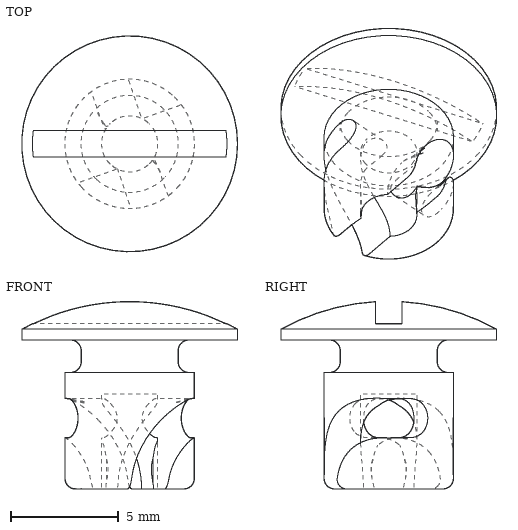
import cadquery as cq
import math


HEAD_RADIUS = 5.0
RIM_HEIGHT = 0.5
DOME_RISE = 1.3
DRIVER_SLOT_WIDTH = 1.22
DRIVER_SLOT_DEPTH = 1.04

SHANK_RADIUS = 3.0
SHANK_HEIGHT = 5.4
SHANK_END_FILLET = 0.5
NECK_RADIUS = 2.25
NECK_FILLET = 0.5
NECK_HEIGHT = 1.5
BORE_RADIUS = 1.3
BORE_DEPTH = 4.4

SLOT_WIDTH = 1.81
SLOT_FLOOR_RADIUS = 0.8
SEAT_CENTER_ARC = -1.02
BEND_START_ARC = 0.45
INNER_BEND_START_ARC = -0.9
BEND_RADIUS = 3.285
SLOT_COUNT = 2
PATH_SEGMENTS = 16
OVERRUN = 1.0

RIM_BOTTOM_Z = SHANK_HEIGHT + NECK_HEIGHT
RIM_TOP_Z = RIM_BOTTOM_Z + RIM_HEIGHT
APEX_Z = RIM_TOP_Z + DOME_RISE
DOME_RADIUS = (HEAD_RADIUS**2 + DOME_RISE**2) / (2 * DOME_RISE)
NECK_ROOT_RADIUS = NECK_RADIUS + NECK_FILLET
SLOT_OUTER_RADIUS = SHANK_RADIUS + OVERRUN
SLOT_DEPTH = SLOT_OUTER_RADIUS - SLOT_FLOOR_RADIUS
MOUTH_ARC = BEND_START_ARC + BEND_RADIUS


def make_turned_body():
    """Revolve the half profile of shank, neck and head."""
    profile = (
        cq.Workplane("XZ")
        .lineTo(SHANK_RADIUS - SHANK_END_FILLET, 0)
        .radiusArc((SHANK_RADIUS, SHANK_END_FILLET), -SHANK_END_FILLET)
        .lineTo(SHANK_RADIUS, SHANK_HEIGHT)
        .lineTo(NECK_ROOT_RADIUS, SHANK_HEIGHT)
        .radiusArc((NECK_RADIUS, SHANK_HEIGHT + NECK_FILLET), NECK_FILLET)
        .lineTo(NECK_RADIUS, RIM_BOTTOM_Z - NECK_FILLET)
        .radiusArc((NECK_ROOT_RADIUS, RIM_BOTTOM_Z), NECK_FILLET)
        .lineTo(HEAD_RADIUS, RIM_BOTTOM_Z)
        .lineTo(HEAD_RADIUS, RIM_TOP_Z)
        .radiusArc((0, APEX_Z), -DOME_RADIUS)
        .close()
    )
    return profile.revolve(360, (0, 0, 0), (0, 1, 0))


def make_driver_slot():
    """Straight screwdriver slot along X across the dome."""
    return (
        cq.Workplane("XY", origin=(0, 0, APEX_Z - DRIVER_SLOT_DEPTH))
        .rect(2 * HEAD_RADIUS, DRIVER_SLOT_WIDTH)
        .extrude(DRIVER_SLOT_DEPTH)
    )


def make_bore():
    """Blind bore from the shank end."""
    return cq.Workplane("XY").circle(BORE_RADIUS).extrude(BORE_DEPTH)


def wrapped_point(arc, z, radius):
    """Point at the given radius; the arc length is measured on the shank from -X toward +Y."""
    angle = arc / SHANK_RADIUS
    return cq.Vector(-radius * math.cos(angle), radius * math.sin(angle), z)


def slot_path(radius, bend_start_arc):
    """Slot centerline wrapped onto a cylinder: level seat, quarter bend, straight run out."""
    bend_length = MOUTH_ARC - bend_start_arc
    steps = [i / PATH_SEGMENTS for i in range(PATH_SEGMENTS + 1)]
    seat_length = bend_start_arc - SEAT_CENTER_ARC
    seat = [wrapped_point(SEAT_CENTER_ARC + seat_length * t, BEND_RADIUS, radius) for t in steps]
    turns = [math.pi / 2 * t for t in steps]
    bend = [
        wrapped_point(bend_start_arc + bend_length * math.sin(a), BEND_RADIUS * math.cos(a), radius)
        for a in turns
    ]
    mouth = wrapped_point(MOUTH_ARC, 0, radius)
    run_out = wrapped_point(MOUTH_ARC, -OVERRUN, radius)
    edges = [
        cq.Edge.makeSpline(seat),
        cq.Edge.makeSpline(bend),
        cq.Edge.makeLine(mouth, run_out),
    ]
    return cq.Workplane(obj=cq.Wire.assembleEdges(edges))


def make_bayonet_slot():
    """Radial slot swept around the shank, closed by a round end at its seat."""
    seat_angle = SEAT_CENTER_ARC / SHANK_RADIUS
    outward = wrapped_point(SEAT_CENTER_ARC, 0, 1)
    along = cq.Vector(math.sin(seat_angle), math.cos(seat_angle), 0)
    section_plane = cq.Plane(origin=(0, 0, BEND_RADIUS), xDir=outward, normal=along)
    section = (
        cq.Workplane(section_plane)
        .center(SLOT_FLOOR_RADIUS + SLOT_DEPTH / 2, 0)
        .rect(SLOT_DEPTH, SLOT_WIDTH)
    )
    outer_path = slot_path(SHANK_RADIUS, BEND_START_ARC)
    inner_path = slot_path(BORE_RADIUS, INNER_BEND_START_ARC)
    swept = section.sweep(outer_path, auxSpine=inner_path, transition="right")
    end_center = wrapped_point(SEAT_CENTER_ARC, BEND_RADIUS, SLOT_FLOOR_RADIUS)
    round_end = cq.Solid.makeCylinder(SLOT_WIDTH / 2, SLOT_DEPTH, end_center, outward)
    return swept.union(cq.Workplane(obj=round_end))


result = make_turned_body().cut(make_driver_slot()).cut(make_bore())
bayonet_slot = make_bayonet_slot()
for index in range(SLOT_COUNT):
    result = result.cut(bayonet_slot.rotate((0, 0, 0), (0, 0, 1), index * 360 / SLOT_COUNT))